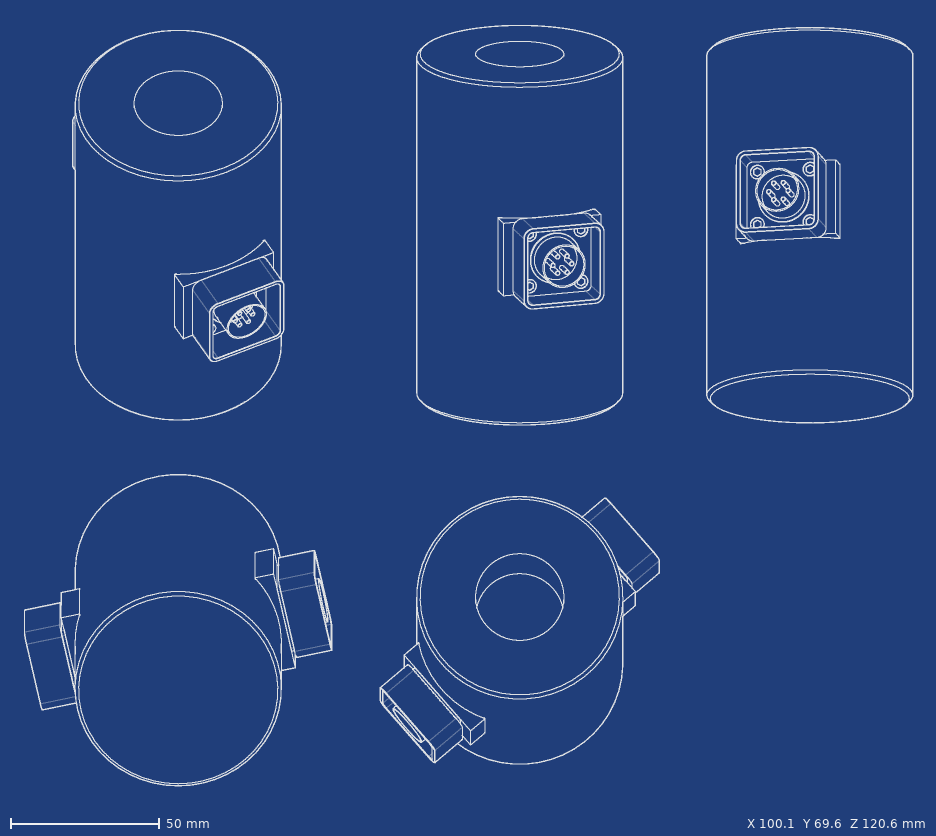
import cadquery as cq
import math

body_length = 120.6
body_diameter = 69.6
body_chamfer = 1.2
bore_diameter = 29.8
bore_depth = 36.2

pad_width = 34.4
pad_height = 25.6
pad_face_x = 36.7
flat_height = 26.0
flat_x = math.sqrt((body_diameter / 2) ** 2 - (pad_width / 2) ** 2)

overall_width = 100.1
housing_front_x = overall_width / 2
housing_size = 28.4
housing_depth = 12.3
housing_corner_radius = 3.3
housing_back_x = housing_front_x - housing_depth
wall_thickness = 1.5
rim_chamfer = 0.1
cavity_depth = 10.3
cavity_floor_x = housing_front_x - cavity_depth
neck_size = 23.8
neck_corner_radius = 1.5

collar_diameter = 17.5
collar_height = 0.6
socket_outer_diameter = 15.0
socket_inner_diameter = 14.0
socket_depth = 7.8
socket_floor_x = housing_front_x - socket_depth
pin_count = 6
pin_diameter = 1.6
pin_tip_chamfer = 0.1
pin_circle_diameter = 6.6
pin_recess = 1.8

screw_spacing = 18.2
screw_head_diameter = 4.7
screw_head_height = 0.6
hexagon_corner_diameter = 2.9
hexagon_depth = 0.4


def plane_at(x):
    """Plane facing +X at distance x, with local axes along Y and Z."""
    return cq.Workplane("YZ", origin=(x, 0, 0))


def rounded_square(start_x, end_x, size, corner_radius):
    block = plane_at(start_x).rect(size, size).extrude(end_x - start_x)
    return block.edges("|X").fillet(corner_radius)


def make_body():
    body = cq.Workplane("XY").circle(body_diameter / 2).extrude(body_length / 2, both=True)
    body = body.faces("<Z or >Z").chamfer(body_chamfer)
    bore = (
        cq.Workplane("XY", origin=(0, 0, body_length / 2))
        .circle(bore_diameter / 2)
        .extrude(-bore_depth)
    )
    return body.cut(bore)


def make_flat_cutter():
    return plane_at(flat_x).rect(body_diameter, flat_height).extrude(body_diameter / 2)


def make_housing():
    outer = rounded_square(housing_back_x, housing_front_x, housing_size, housing_corner_radius)
    cavity = rounded_square(
        cavity_floor_x,
        housing_front_x,
        housing_size - 2 * wall_thickness,
        housing_corner_radius - wall_thickness,
    )
    return outer.cut(cavity).faces(">X").chamfer(rim_chamfer)


def make_socket():
    collar = plane_at(cavity_floor_x).circle(collar_diameter / 2).extrude(collar_height)
    tube = plane_at(cavity_floor_x).circle(socket_outer_diameter / 2).extrude(cavity_depth)
    hollow = plane_at(socket_floor_x).circle(socket_inner_diameter / 2).extrude(socket_depth)
    pins = (
        plane_at(socket_floor_x)
        .polarArray(pin_circle_diameter / 2, 0, 360, pin_count)
        .circle(pin_diameter / 2)
        .extrude(socket_depth - pin_recess)
    )
    pins = pins.faces(">X").chamfer(pin_tip_chamfer)
    return collar.union(tube).cut(hollow).union(pins)


def make_screws():
    heads = (
        plane_at(cavity_floor_x)
        .rect(screw_spacing, screw_spacing, forConstruction=True)
        .vertices()
        .circle(screw_head_diameter / 2)
        .extrude(screw_head_height)
    )
    hexagon_plane = cq.Plane(
        origin=(cavity_floor_x + screw_head_height, 0, 0),
        xDir=(0, 0, 1),
        normal=(1, 0, 0),
    )
    hexagons = (
        cq.Workplane(hexagon_plane)
        .rect(screw_spacing, screw_spacing, forConstruction=True)
        .vertices()
        .polygon(6, hexagon_corner_diameter)
        .extrude(-hexagon_depth)
    )
    return heads.cut(hexagons)


def make_connector():
    pad = plane_at(flat_x).rect(pad_width, pad_height).extrude(pad_face_x - flat_x)
    neck = rounded_square(pad_face_x, housing_back_x, neck_size, neck_corner_radius)
    return pad.union(neck).union(make_housing()).union(make_socket()).union(make_screws())


flat_cutter = make_flat_cutter()
connector = make_connector()
result = make_body()
for turn in (0, 180):
    result = result.cut(flat_cutter.rotate((0, 0, 0), (0, 0, 1), turn))
    result = result.union(connector.rotate((0, 0, 0), (0, 0, 1), turn))